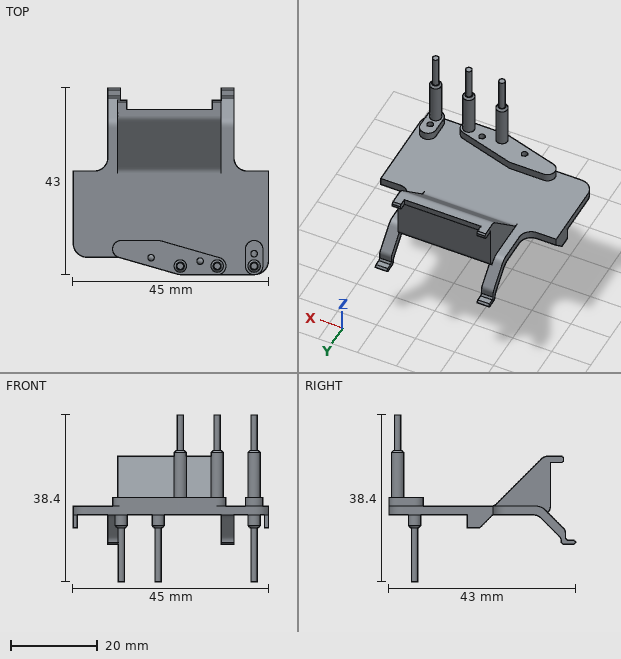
import cadquery as cq
import math

plate_width = 45.0
plate_thickness = 2.0
plate_depth = 23.9
plate_corner_radius = 3.3

pad_radius = 2.0

pin_pitch = 8.5
right_pin_x = 19.17
upper_pin_y = pad_radius
lower_pin_y = 5.9
wire_shift_x = 13.58
wire_diameter = 1.5
sleeve_diameter = 2.85
sleeve_chamfer = 0.5
upper_sleeve_top = 14.85
upper_pin_top = 23.0
lower_sleeve_bottom = -3.0
lower_pin_bottom = -15.4

pad_top = 4.0
wire_z = pad_top / 2

arm_outer_x = 14.55
arm_width = 3.0
arm_root_radius = 3.0
arm_bend_y = 33.85
arm_bend_radius = 3.0
neck_back_y = 32.0
arm_tip_y = 43.0
arm_back_y = 40.65
hook_thickness = 1.0
hook_bottom = -6.8
hook_chamfer = 0.45
hook_corner_relief = 0.45
shank_back_radius = 1.5
shank_front_radius = 1.8

wedge_center_x = -0.33
wedge_width = 23.8
wedge_top = 13.5
wedge_back_y = 37.2
wedge_foot_y = 24.2
wedge_bend_radius = 2.0
lip_thickness = 1.5
lip_back_y = 38.07
tab_back_y = 40.2
tab_width = 2.1
tab_chamfer = 0.4

skirt_thickness = 1.0
skirt_depth = 3.0
skirt_front_y = 18.0
skirt_foot_y = plate_depth - skirt_depth

diagonal = math.sqrt(0.5)
bend_tangent = math.tan(math.radians(45) / 2)

upper_pins = [(right_pin_x - i * pin_pitch, upper_pin_y) for i in range(3)]
lower_pins = [
    (right_pin_x, lower_pin_y),
    (upper_pins[1][0] - wire_shift_x, lower_pin_y),
    (upper_pins[2][0] - wire_shift_x, lower_pin_y),
]
window_fractions = [0.27, 0.71, 0.505]

wire_angle = math.atan2(lower_pin_y - upper_pin_y, wire_shift_x)
flank_dx = pad_radius * math.sin(wire_angle)
flank_dy = pad_radius * math.cos(wire_angle)
mid_dx = pad_radius * math.sin(wire_angle / 2)
mid_dy = pad_radius * math.cos(wire_angle / 2)
step_y = lower_pin_y - flank_dy


def extrude_along_x(profile, x_start, length):
    """Extrude a YZ profile from x_start toward +X."""
    return profile.extrude(length).translate((x_start, 0, 0))


def make_plate():
    """Flat plate with a narrower neck at the back; its slanted front edge is flush with the long pad."""
    half = plate_width / 2
    bend_x = upper_pins[2][0]
    outline = (
        cq.Workplane("XY")
        .moveTo(-half, step_y + plate_corner_radius)
        .radiusArc((-half + plate_corner_radius, step_y), -plate_corner_radius)
        .lineTo(lower_pins[2][0] - flank_dx, step_y)
        .lineTo(bend_x - flank_dx, upper_pin_y - flank_dy)
        .threePointArc((bend_x - mid_dx, upper_pin_y - mid_dy), (bend_x, 0))
        .lineTo(half - plate_corner_radius, 0)
        .radiusArc((half, plate_corner_radius), -plate_corner_radius)
        .lineTo(half, plate_depth)
        .lineTo(arm_outer_x + arm_root_radius, plate_depth)
        .radiusArc((arm_outer_x, plate_depth + arm_root_radius), arm_root_radius)
        .lineTo(arm_outer_x, neck_back_y)
        .lineTo(-arm_outer_x, neck_back_y)
        .lineTo(-arm_outer_x, plate_depth + arm_root_radius)
        .radiusArc((-arm_outer_x - arm_root_radius, plate_depth), arm_root_radius)
        .lineTo(-half, plate_depth)
        .close()
    )
    return outline.extrude(plate_thickness)


def make_long_pad():
    """Pad around both slanted wires: the hull of circles on their four pins."""
    left_x = lower_pins[2][0]
    inner_x = lower_pins[1][0]
    bend_x = upper_pins[2][0]
    right_x = upper_pins[1][0]
    r = pad_radius
    return (
        cq.Workplane("XY")
        .moveTo(left_x, lower_pin_y + r)
        .threePointArc((left_x - r, lower_pin_y), (left_x - flank_dx, lower_pin_y - flank_dy))
        .lineTo(bend_x - flank_dx, upper_pin_y - flank_dy)
        .threePointArc((bend_x - mid_dx, upper_pin_y - mid_dy), (bend_x, upper_pin_y - r))
        .lineTo(right_x, upper_pin_y - r)
        .threePointArc((right_x + r, upper_pin_y), (right_x + flank_dx, upper_pin_y + flank_dy))
        .lineTo(inner_x + flank_dx, lower_pin_y + flank_dy)
        .threePointArc((inner_x + mid_dx, lower_pin_y + mid_dy), (inner_x, lower_pin_y + r))
        .close()
        .extrude(pad_top)
    )


def make_short_pad():
    """Obround pad around the right-hand wire."""
    length = lower_pin_y - upper_pin_y + 2 * pad_radius
    return (
        cq.Workplane("XY")
        .center(right_pin_x, (lower_pin_y + upper_pin_y) / 2)
        .slot2D(length, 2 * pad_radius, 90)
        .extrude(pad_top)
    )


def make_pin(position, sleeve_end, pin_end):
    """Sleeve with a chamfered end and a thinner pin, both starting at the wire axis."""
    sleeve = (
        cq.Workplane("XY", origin=(*position, wire_z))
        .circle(sleeve_diameter / 2)
        .extrude(sleeve_end - wire_z)
    )
    end_face = ">Z" if sleeve_end > wire_z else "<Z"
    sleeve = sleeve.faces(end_face).chamfer(sleeve_chamfer)
    pin = (
        cq.Workplane("XY", origin=(*position, wire_z))
        .circle(wire_diameter / 2)
        .extrude(pin_end - wire_z)
    )
    return sleeve.union(pin)


def make_window(lower, upper, fraction):
    """Round hole from the pad top down to the buried wire, leaving the wire itself in place."""
    run_x = upper[0] - lower[0]
    run_y = upper[1] - lower[1]
    wire = cq.Workplane(
        cq.Solid.makeCylinder(
            wire_diameter / 2,
            math.hypot(run_x, run_y),
            cq.Vector(*lower, wire_z),
            cq.Vector(run_x, run_y, 0),
        )
    )
    hole = (
        cq.Workplane("XY", origin=(lower[0] + fraction * run_x, lower[1] + fraction * run_y, wire_z))
        .circle(wire_diameter / 2)
        .extrude(pad_top - wire_z)
    )
    return hole.cut(wire)


def make_arm(x_start):
    """Arm that bends 45 degrees down from the plate and ends in a hook."""
    shank_front_y = arm_back_y - hook_thickness
    hook_top = hook_bottom + hook_thickness
    bend = arm_bend_radius * bend_tangent
    back = shank_back_radius * bend_tangent
    front = shank_front_radius * bend_tangent
    top_corner_y = arm_bend_y + bend
    under_corner_y = top_corner_y + plate_thickness - plate_thickness / diagonal
    back_corner_z = plate_thickness - (arm_back_y - top_corner_y)
    front_corner_z = under_corner_y - shank_front_y
    profile = (
        cq.Workplane("YZ")
        .moveTo(neck_back_y, 0)
        .lineTo(neck_back_y, plate_thickness)
        .lineTo(arm_bend_y, plate_thickness)
        .radiusArc(
            (top_corner_y + bend * diagonal, plate_thickness - bend * diagonal),
            arm_bend_radius,
        )
        .lineTo(arm_back_y - back * diagonal, back_corner_z + back * diagonal)
        .radiusArc((arm_back_y, back_corner_z - back), shank_back_radius)
        .lineTo(arm_back_y, hook_top + hook_corner_relief)
        .lineTo(arm_back_y + hook_corner_relief, hook_top)
        .lineTo(arm_tip_y - hook_chamfer, hook_top)
        .lineTo(arm_tip_y, hook_top - hook_chamfer)
        .lineTo(arm_tip_y, hook_bottom + hook_chamfer)
        .lineTo(arm_tip_y - hook_chamfer, hook_bottom)
        .lineTo(shank_front_y + hook_corner_relief, hook_bottom)
        .lineTo(shank_front_y, hook_bottom + hook_corner_relief)
        .lineTo(shank_front_y, front_corner_z - front)
        .radiusArc(
            (shank_front_y - front * diagonal, front_corner_z + front * diagonal),
            -shank_front_radius,
        )
        .lineTo(under_corner_y + bend * diagonal, -bend * diagonal)
        .radiusArc((under_corner_y - bend, 0), -arm_bend_radius)
        .close()
    )
    return extrude_along_x(profile, x_start, arm_width)


def make_wedge():
    """Wedge with a 45 degree front slope and a notched lip along its top back edge."""
    x_start = wedge_center_x - wedge_width / 2
    r = wedge_bend_radius
    tangent = r * bend_tangent
    along = tangent * diagonal
    crest_y = wedge_foot_y + wedge_top - plate_thickness
    lip_bottom = wedge_top - lip_thickness
    profile = (
        cq.Workplane("YZ")
        .moveTo(wedge_foot_y - tangent, 0)
        .lineTo(wedge_foot_y - tangent, plate_thickness)
        .radiusArc((wedge_foot_y + along, plate_thickness + along), -r)
        .lineTo(crest_y - along, wedge_top - along)
        .radiusArc((crest_y + tangent, wedge_top), r)
        .lineTo(tab_back_y - tab_chamfer, wedge_top)
        .lineTo(tab_back_y, wedge_top - tab_chamfer)
        .lineTo(tab_back_y, lip_bottom + tab_chamfer)
        .lineTo(tab_back_y - tab_chamfer, lip_bottom)
        .lineTo(wedge_back_y, lip_bottom)
        .lineTo(wedge_back_y, r)
        .radiusArc((wedge_back_y - r, 0), r)
        .close()
    )
    notch = cq.Workplane("XY").box(
        wedge_width - 2 * tab_width, tab_back_y - lip_back_y, lip_thickness, centered=(True, False, False)
    )
    notch = notch.translate((wedge_center_x, lip_back_y, lip_bottom))
    return extrude_along_x(profile, x_start, wedge_width).cut(notch)


def make_skirt(x_start):
    """Hanging plate on a side edge, with a 45 degree back edge."""
    profile = cq.Workplane("YZ").polyline([
        (skirt_front_y, plate_thickness),
        (skirt_front_y, -skirt_depth),
        (skirt_foot_y, -skirt_depth),
        (plate_depth, 0),
        (plate_depth, plate_thickness),
    ]).close()
    return extrude_along_x(profile, x_start, skirt_thickness)


result = make_plate().union(make_long_pad()).union(make_short_pad()).union(make_wedge())
for arm_x in (-arm_outer_x, arm_outer_x - arm_width):
    result = result.union(make_arm(arm_x))
for skirt_x in (-plate_width / 2, plate_width / 2 - skirt_thickness):
    result = result.union(make_skirt(skirt_x))
for lower, upper, fraction in zip(lower_pins, upper_pins, window_fractions):
    result = result.union(make_pin(upper, upper_sleeve_top, upper_pin_top))
    result = result.union(make_pin(lower, lower_sleeve_bottom, lower_pin_bottom))
    result = result.cut(make_window(lower, upper, fraction))